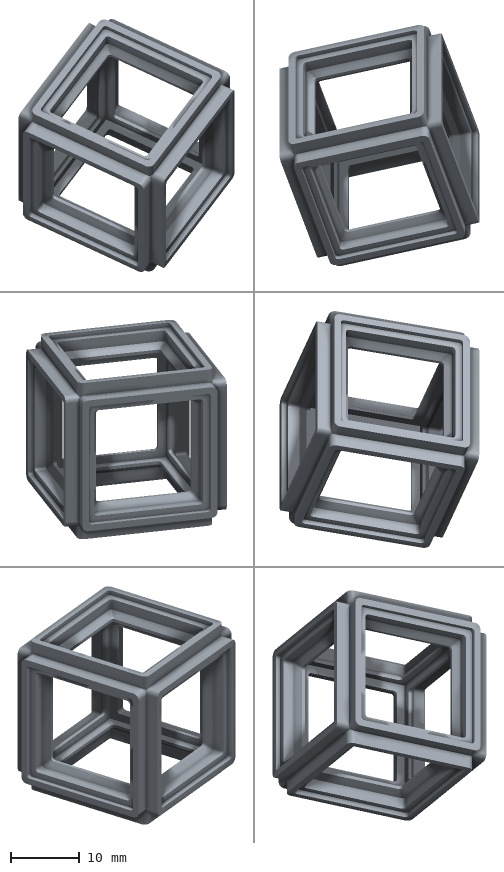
import cadquery as cq

outer_size = 24.5
bar_size = 20.5
bar_radius = 0.9

rebate_size = 18.5
window_size = 16.51
opening_size = 14.5
rebate_depth = 0.74
straight_depth = 1.7
taper_depth = 0.83
rebate_radius = 0.5
window_radius = 0.5
opening_radius = 0.5
taper_radius = 0.32

cavity_size = 17.0

face_height = outer_size / 2
rebate_floor = face_height - rebate_depth
taper_top = rebate_floor - straight_depth
taper_bottom = taper_top - taper_depth


def rounded_square(size, radius):
    """Sketch of a square with rounded corners."""
    return cq.Sketch().rect(size, size).vertices().fillet(radius)


def rounded_prism(size, radius, bottom, top):
    """Upright prism with rounded corners, centred on the Z axis."""
    return (
        cq.Workplane("XY", origin=(0, 0, bottom))
        .placeSketch(rounded_square(size, radius))
        .extrude(top - bottom)
    )


def window_taper():
    """Sloping stretch that narrows from the window down to the opening."""
    small_end = rounded_square(opening_size, taper_radius)
    large_end = rounded_square(window_size, taper_radius).moved(cq.Location(cq.Vector(0, 0, taper_depth)))
    return cq.Workplane("XY", origin=(0, 0, taper_bottom)).placeSketch(small_end, large_end).loft()


def window_pair():
    """Cutter for the stepped windows in the top and bottom faces."""
    rebate = rounded_prism(rebate_size, rebate_radius, rebate_floor, face_height)
    straight = rounded_prism(window_size, window_radius, taper_top, rebate_floor)
    opening = rounded_prism(opening_size, opening_radius, 0, taper_bottom)
    upper = rebate.union(straight).union(window_taper()).union(opening)
    return upper.union(upper.mirror("XY"))


def along_each_axis(shape):
    """The Z-aligned shape, with copies turned onto the Y and X axes."""
    along_y = shape.rotate((0, 0, 0), (1, 0, 0), 90)
    along_x = shape.rotate((0, 0, 0), (0, 1, 0), 90)
    return [shape, along_y, along_x]


def make_frame():
    """Hollow cubic frame with a raised, rebated rim around every window."""
    central_cavity = cq.Workplane("XY").box(cavity_size, cavity_size, cavity_size)
    bar = rounded_prism(bar_size, bar_radius, -face_height, face_height)
    bar_z, bar_y, bar_x = along_each_axis(bar)
    body = bar_z.union(bar_y).union(bar_x).cut(central_cavity)
    for windows in along_each_axis(window_pair()):
        body = body.cut(windows)
    return body


frame = make_frame()
result = cq.Compound.makeCompound([frame.solids().val()])